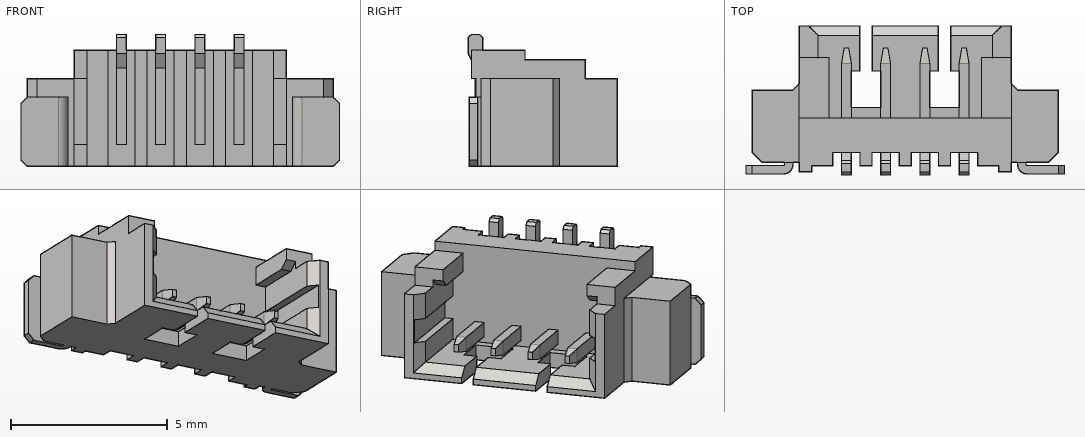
import cadquery as cq


body_half_width = 3.38
body_depth_end = 4.75
foot_y = 0.1
rib_y = 0.29
groove_floor_y = 0.71
block_front_y = 1.82
block_top = 3.7
shelf_front_y = 3.74
shelf_top = 3.4
wall_top = 2.79
floor_top = 0.5

cavity_half_width = 2.77
cavity_lead_in = 0.3
shelf_inner_x = 2.43
shelf_corner_length = 0.3
shelf_corner_height = 0.23
key_groove_half_width = 3.05
key_groove_bottom = 1.19
key_groove_top = 1.95

foot_width = 0.41
foot_recess_y = 0.24
foot_recess_bottom = 0.7
foot_recess_top = wall_top

contact_count = 4
contact_pitch = 1.25
contact_positions = [contact_pitch * (i - (contact_count - 1) / 2) for i in range(contact_count)]
contact_width = 0.31
contact_thickness = 0.47
tail_top = 4.2
tail_chamfer = 0.1
jog_top = 3.59
jog_bottom = 3.14
leg_rear_y = 0.22
prong_bottom = 0.7
prong_tip_y = 4.05
tip_length = 0.5
tip_width = 0.14
tip_drop = 0.11
rear_groove_width = 0.86

opening_x = contact_pitch
opening_width = contact_pitch
opening_rear_y = 2.15
opening_front_y = 3.31
mouth_width = 0.39

wing_half_width = 4.87
wing_rear_y = 0.41
wing_front_y = 2.7
wing_chamfer = 0.3
gusset = 0.2
tab_half_width = 5.08
tab_inner_x = 3.57
tab_rear_y = 0.03
tab_thickness = 0.27
bend_inner_radius = 0.03
tab_height = 2.2
tab_chamfer = 0.2


def box(x0, x1, y0, y1, z0, z1):
    """Box given by its limits along each axis."""
    return cq.Workplane("XY").box(x1 - x0, y1 - y0, z1 - z0, centered=False).translate((x0, y0, z0))


def both_sides(shape):
    """The shape together with its mirror image across X = 0."""
    return shape.union(shape.mirror("YZ"))


def housing_shell():
    """Stepped side profile, extruded across the full width."""
    profile = [
        (foot_y, 0),
        (body_depth_end, 0),
        (body_depth_end, wall_top),
        (shelf_front_y, wall_top),
        (shelf_front_y, shelf_top),
        (block_front_y, shelf_top),
        (block_front_y, block_top),
        (foot_y, block_top),
    ]
    return cq.Workplane("YZ").polyline(profile).close().extrude(body_half_width, both=True)


def cavity():
    """Mating space: narrow between the shelves, wide below, with key grooves and a lead-in."""
    half_section = [
        (0, floor_top),
        (cavity_half_width, floor_top),
        (cavity_half_width, key_groove_bottom),
        (key_groove_half_width, key_groove_bottom),
        (key_groove_half_width, key_groove_top),
        (cavity_half_width, key_groove_top),
        (cavity_half_width, wall_top),
        (shelf_inner_x, wall_top),
        (shelf_inner_x, shelf_top),
        (0, shelf_top),
    ]
    length = body_depth_end - block_front_y
    half = cq.Workplane("XZ", origin=(0, block_front_y, 0)).polyline(half_section).close().extrude(-length)
    space = both_sides(half)

    space = space.union(
        box(-cavity_half_width, cavity_half_width, shelf_front_y, body_depth_end, floor_top, shelf_top)
    )

    overhang_corner = (
        cq.Workplane("YZ", origin=(shelf_inner_x, 0, 0))
        .polyline([
            (shelf_front_y - shelf_corner_length, wall_top),
            (shelf_front_y, wall_top),
            (shelf_front_y, wall_top + shelf_corner_height),
        ])
        .close()
        .extrude(cavity_half_width - shelf_inner_x)
    )
    space = space.union(both_sides(overhang_corner))

    flare_y = body_depth_end - cavity_lead_in
    wall_flare = (
        cq.Workplane("XY")
        .polyline([
            (-cavity_half_width, flare_y),
            (cavity_half_width, flare_y),
            (cavity_half_width + cavity_lead_in, body_depth_end),
            (-cavity_half_width - cavity_lead_in, body_depth_end),
        ])
        .close()
        .extrude(wall_top)
    )
    floor_flare = (
        cq.Workplane("YZ")
        .polyline([
            (flare_y, floor_top),
            (body_depth_end, floor_top - cavity_lead_in),
            (body_depth_end, wall_top),
            (flare_y, wall_top),
        ])
        .close()
        .extrude(body_half_width, both=True)
    )
    return space.union(wall_flare.intersect(floor_flare))


def floor_openings():
    """Window in the floor plus a narrower slot running out through the mouth."""
    window = box(
        opening_x - opening_width / 2, opening_x + opening_width / 2,
        opening_rear_y, opening_front_y, 0, floor_top,
    )
    slot = box(
        opening_x - mouth_width / 2, opening_x + mouth_width / 2,
        opening_front_y, body_depth_end, 0, floor_top,
    )
    return both_sides(window.union(slot))


def rear_relief():
    """Material cleared from the rear face, leaving ribs, contact grooves and corner feet."""
    foot_inner_x = body_half_width - foot_width
    relief = box(-foot_inner_x, foot_inner_x, foot_y, rib_y, 0, block_top)
    for x in contact_positions:
        half = rear_groove_width / 2
        relief = relief.union(box(x - half, x + half, foot_y, groove_floor_y, 0, block_top))
    foot_gap = box(
        foot_inner_x, body_half_width, foot_y, foot_recess_y, foot_recess_bottom, foot_recess_top
    )
    return relief.union(both_sides(foot_gap))


def wing():
    """Right-hand wing with a chamfered rear corner and a gusset against the wall."""
    outline = [
        (body_half_width, wing_rear_y),
        (wing_half_width - wing_chamfer, wing_rear_y),
        (wing_half_width, wing_rear_y + wing_chamfer),
        (wing_half_width, wing_front_y),
        (body_half_width + gusset, wing_front_y),
        (body_half_width, wing_front_y + gusset),
    ]
    return cq.Workplane("XY").polyline(outline).close().extrude(wall_top)


def solder_tab():
    """Right-hand plate behind the wing, bent round into the wing at its inner end."""
    tab_front_y = tab_rear_y + tab_thickness
    bend_outer_radius = tab_thickness + bend_inner_radius
    bend_x = tab_inner_x + bend_outer_radius
    bend_y = tab_rear_y + bend_outer_radius
    plate = (
        box(bend_x, tab_half_width, tab_rear_y, tab_front_y, 0, tab_height)
        .edges("|Y and >X")
        .chamfer(tab_chamfer)
    )
    bend = (
        cq.Workplane("XY")
        .moveTo(bend_x, tab_rear_y)
        .radiusArc((tab_inner_x, bend_y), bend_outer_radius)
        .lineTo(tab_inner_x, wing_rear_y)
        .lineTo(tab_inner_x + tab_thickness, wing_rear_y)
        .lineTo(tab_inner_x + tab_thickness, bend_y)
        .radiusArc((bend_x, tab_front_y), -bend_inner_radius)
        .close()
        .extrude(tab_height)
    )
    return plate.union(bend)


def contact():
    """Contact centred on X = 0: tail above the block, jogged leg and a pointed prong."""
    prong_top = prong_bottom + contact_thickness
    taper_y = prong_tip_y - tip_length
    profile = [
        (0, jog_top),
        (0, tail_top - tail_chamfer),
        (tail_chamfer, tail_top),
        (contact_thickness - tail_chamfer, tail_top),
        (contact_thickness, tail_top - tail_chamfer),
        (contact_thickness, jog_top),
        (groove_floor_y, jog_bottom),
        (block_front_y, jog_bottom),
        (block_front_y, prong_top),
        (taper_y, prong_top),
        (prong_tip_y, prong_top - tip_drop),
        (prong_tip_y, prong_bottom + tip_drop),
        (taper_y, prong_bottom),
        (leg_rear_y, prong_bottom),
        (leg_rear_y, jog_bottom),
    ]
    outline = [
        (-contact_width / 2, 0),
        (contact_width / 2, 0),
        (contact_width / 2, taper_y),
        (tip_width / 2, prong_tip_y),
        (-tip_width / 2, prong_tip_y),
        (-contact_width / 2, taper_y),
    ]
    side = cq.Workplane("YZ").polyline(profile).close().extrude(contact_width, both=True)
    plan = cq.Workplane("XY").polyline(outline).close().extrude(tail_top)
    return side.intersect(plan)


result = housing_shell().cut(cavity()).cut(floor_openings()).cut(rear_relief())
result = result.union(both_sides(wing().union(solder_tab())))
for x in contact_positions:
    result = result.union(contact().translate((x, 0, 0)))